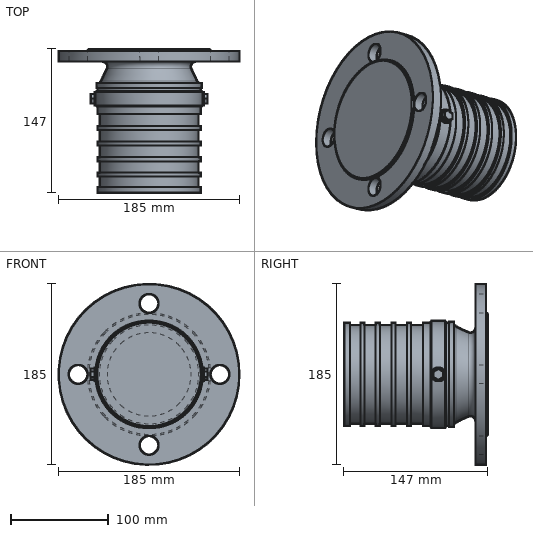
import cadquery as cq
import math


flange_diameter = 185.0
flange_thickness = 11.0
raised_face_diameter = 126.0
raised_face_height = 2.0
raised_face_chamfer = 1.5
bolt_hole_diameter = 19.0
bolt_circle_diameter = 145.0
bolt_hole_count = 4

throat_diameter = 85.6
throat_fillet = 5.0
cone_end_diameter = 98.4
cone_end = 32.6

collar_diameter = 108.0
collar_start = 34.6
collar_width = 5.1
ring_diameter = 110.0
ring_start = 42.8
ring_width = 16.0
ring_chamfer_width = 1.2

tail_diameter = 101.4
rib_diameter = 106.0
shoulder_end = 66.7
rib_pitch = 16.0
rib_width = 4.4
first_rib_start = 78.5
last_rib_width = 3.9
rib_count = 4
end_rib_width = 6.0
total_length = 147.0

washer_diameter = 14.0
washer_face = 56.0
hex_across_flats = 10.0
hex_face = 59.8
screw_root = 50.0

flange_front = raised_face_height + flange_thickness
ring_end = ring_start + ring_width


def disc(diameter, start, length):
    """Cylinder on the part axis that begins at an axial position and runs toward -Y."""
    return cq.Workplane("XZ", origin=(0, -start, 0)).circle(diameter / 2).extrude(length)


def make_flange():
    plate = disc(flange_diameter, raised_face_height, flange_thickness)
    raised_face = disc(raised_face_diameter, 0, raised_face_height)
    raised_face = raised_face.faces(">Y").chamfer(raised_face_chamfer)
    return plate.union(raised_face)


def make_bolt_holes():
    return (
        cq.Workplane("XZ", origin=(0, -raised_face_height, 0))
        .polarArray(bolt_circle_diameter / 2, 0, 360, bolt_hole_count)
        .circle(bolt_hole_diameter / 2)
        .extrude(flange_thickness)
    )


def make_neck():
    arc_y = flange_front + throat_fillet
    arc_radius = throat_diameter / 2 + throat_fillet
    run = cone_end - arc_y
    inset = arc_radius - cone_end_diameter / 2
    cone_angle = math.asin(throat_fillet / math.hypot(run, inset)) - math.atan2(inset, run)

    def throat_point(angle):
        radius = arc_radius - throat_fillet * math.cos(angle)
        return (radius, -arc_y - throat_fillet * math.sin(angle))

    return (
        cq.Workplane("XY")
        .moveTo(0, -flange_front)
        .lineTo(arc_radius, -flange_front)
        .threePointArc(throat_point(0), throat_point(cone_angle))
        .lineTo(cone_end_diameter / 2, -cone_end)
        .lineTo(tail_diameter / 2, -collar_start)
        .lineTo(0, -collar_start)
        .close()
        .revolve(360, (0, 0, 0), (0, 1, 0))
    )


def make_collar_and_ring():
    collar = disc(collar_diameter, collar_start, collar_width)
    bevel_depth = (ring_diameter - rib_diameter) / 2
    ring = (
        cq.Workplane("XY")
        .moveTo(0, -ring_start)
        .lineTo(rib_diameter / 2, -ring_start)
        .line(bevel_depth, -ring_chamfer_width)
        .lineTo(ring_diameter / 2, -ring_end + ring_chamfer_width)
        .line(-bevel_depth, -ring_chamfer_width)
        .lineTo(0, -ring_end)
        .close()
        .revolve(360, (0, 0, 0), (0, 1, 0))
    )
    return collar.union(ring)


def make_hose_tail():
    tail = disc(tail_diameter, collar_start, total_length - collar_start)
    tail = tail.union(disc(rib_diameter, collar_start, shoulder_end - collar_start))
    for index in range(rib_count):
        width = last_rib_width if index == rib_count - 1 else rib_width
        tail = tail.union(disc(rib_diameter, first_rib_start + index * rib_pitch, width))
    return tail.union(disc(rib_diameter, total_length - end_rib_width, end_rib_width))


def make_screw(side):
    """Washer and hexagon head on the ring; side is +1 for +X and -1 for -X."""
    middle = ring_start + ring_width / 2
    plane = cq.Plane(origin=(side * screw_root, -middle, 0), xDir=(0, 0, 1), normal=(side, 0, 0))
    hex_across_corners = hex_across_flats / math.cos(math.pi / 6)
    washer = cq.Workplane(plane).circle(washer_diameter / 2).extrude(washer_face - screw_root)
    head = cq.Workplane(plane).polygon(6, hex_across_corners).extrude(hex_face - screw_root)
    return washer.union(head)


result = make_flange().cut(make_bolt_holes())
result = result.union(make_neck()).union(make_hose_tail()).union(make_collar_and_ring())
for side in (-1, 1):
    result = result.union(make_screw(side))